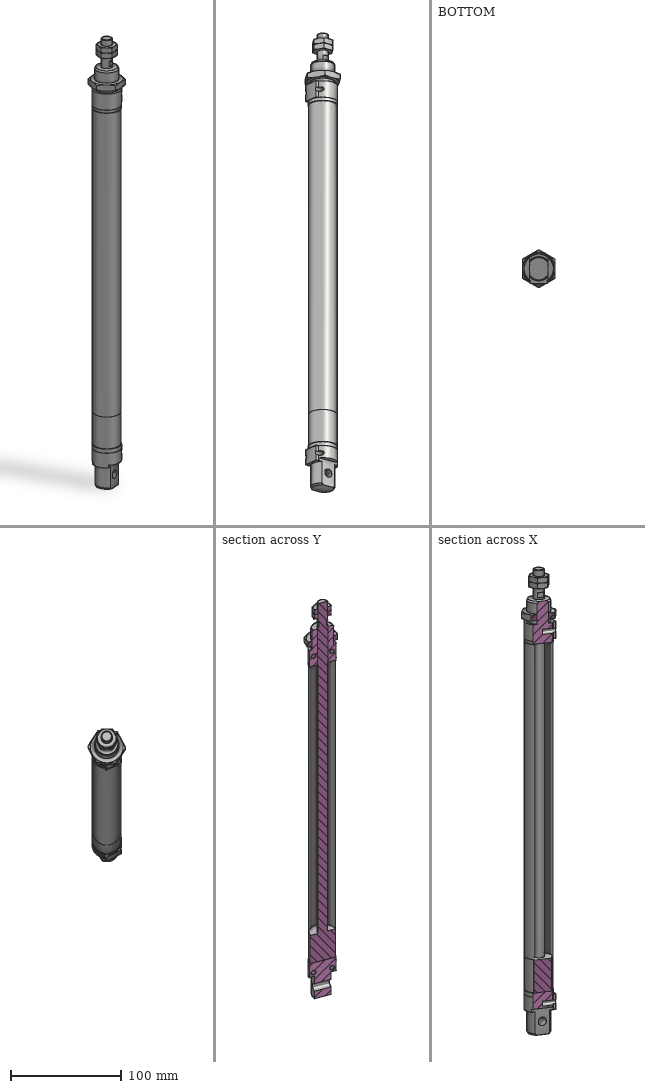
import cadquery as cq
import math

TOTAL_LENGTH = 439.0
REAR_CAP_BOTTOM = 22.5
CLEVIS_TOP = 25.0
REAR_CAP_TOP = 37.0
REAR_BAND_TOP = 41.0
FRONT_BAND_BOTTOM = 370.5
FRONT_CAP_BOTTOM = 373.5
FRONT_CAP_TOP = 389.5
COLLAR_TOP = 411.0

TUBE_DIAMETER = 26.5
BAND_DIAMETER = 26.8
CAP_DIAMETER = 27.0
BORE_DIAMETER = 25.0
NECK_DIAMETER = 22.0
CHAMFERED_END_DIAMETER = 20.0
END_CHAMFER = (NECK_DIAMETER - CHAMFERED_END_DIAMETER) / 2
END_CHAMFER_LENGTH = 1.8
CLEVIS_THICKNESS = 16.5
CLEVIS_HOLE_DIAMETER = 8.0
CLEVIS_HOLE_HEIGHT = 12.7

PAD_WIDTH = 16.0
PAD_REACH = CAP_DIAMETER / 2
GROOVE_DIAMETER = 4.5
GROOVE_OFFSET = 9.0

ROD_DIAMETER = 10.0
ROD_TIP_DIAMETER = 8.8
ROD_TIP_CHAMFER = (ROD_DIAMETER - ROD_TIP_DIAMETER) / 2
PISTON_BOTTOM = REAR_BAND_TOP
PISTON_TOP = 72.0
ROD_FLATS_WIDTH = 8.5
ROD_FLATS_BOTTOM = 412.5
ROD_FLATS_TOP = 417.5

MOUNT_NUT_WIDTH = 30.0
MOUNT_NUT_HEIGHT = 6.0
MOUNT_NUT_BOTTOM = 393.0
ROD_NUT_WIDTH = 17.0
ROD_NUT_HEIGHT = 5.3
ROD_NUT_BOTTOM = 422.5
ROD_NUT_COUNT = 2
NUT_CHAMFER_ANGLE = 20.0
HEX_SIDES = 6


def cylinder(diameter, bottom, top):
    return cq.Workplane("XY").workplane(offset=bottom).circle(diameter / 2).extrude(top - bottom)


def box(x_range, y_range, z_range):
    """Block between the given limits along X, Y and Z."""
    size = [high - low for low, high in (x_range, y_range, z_range)]
    corner = (x_range[0], y_range[0], z_range[0])
    return cq.Workplane("XY").box(*size, centered=False).translate(corner)


def side_cuts(half_width, bottom, top):
    """Two blocks that leave only the material between x = -half_width and x = +half_width."""
    reach = CAP_DIAMETER
    y_range = (-reach, reach)
    right = box((half_width, reach), y_range, (bottom, top))
    left = box((-reach, -half_width), y_range, (bottom, top))
    return right.union(left)


def cap(bottom, top):
    """End cap with its pad."""
    half = PAD_WIDTH / 2
    pad = box((-half, half), (0, PAD_REACH), (bottom, top))
    return cylinder(CAP_DIAMETER, bottom, top).union(pad)


def grooves(height):
    """Round grooves along Y on both flanks of a pad."""
    return (
        cq.Workplane("XZ", origin=(0, 0, height))
        .pushPoints([(-GROOVE_OFFSET, 0), (GROOVE_OFFSET, 0)])
        .circle(GROOVE_DIAMETER / 2)
        .extrude(-CAP_DIAMETER)
    )


def make_housing():
    tube = cylinder(TUBE_DIAMETER, REAR_CAP_TOP, FRONT_CAP_BOTTOM)
    rear_band = cylinder(BAND_DIAMETER, REAR_CAP_TOP, REAR_BAND_TOP)
    front_band = cylinder(BAND_DIAMETER, FRONT_BAND_BOTTOM, FRONT_CAP_BOTTOM)
    rear_cap = cap(REAR_CAP_BOTTOM, REAR_CAP_TOP)
    front_cap = cap(FRONT_CAP_BOTTOM, FRONT_CAP_TOP)
    collar = cylinder(NECK_DIAMETER, FRONT_CAP_TOP, COLLAR_TOP)
    collar = collar.faces(">Z").chamfer(END_CHAMFER_LENGTH, END_CHAMFER)
    clevis = cylinder(NECK_DIAMETER, 0, REAR_CAP_BOTTOM)
    clevis = clevis.faces("<Z").chamfer(END_CHAMFER_LENGTH, END_CHAMFER)
    body = tube
    for section in (rear_band, front_band, rear_cap, front_cap, collar, clevis):
        body = body.union(section)

    body = body.cut(side_cuts(CLEVIS_THICKNESS / 2, 0, CLEVIS_TOP))
    clevis_hole = (
        cq.Workplane("YZ", origin=(0, 0, CLEVIS_HOLE_HEIGHT))
        .circle(CLEVIS_HOLE_DIAMETER / 2)
        .extrude(CLEVIS_THICKNESS, both=True)
    )
    body = body.cut(clevis_hole)
    for bottom, top in ((REAR_CAP_BOTTOM, REAR_CAP_TOP), (FRONT_CAP_BOTTOM, FRONT_CAP_TOP)):
        body = body.cut(grooves((bottom + top) / 2))

    body = body.cut(cylinder(BORE_DIAMETER, PISTON_BOTTOM, FRONT_BAND_BOTTOM))
    return body.cut(cylinder(ROD_DIAMETER, FRONT_BAND_BOTTOM, COLLAR_TOP))


def make_piston_rod():
    piston = cylinder(BORE_DIAMETER, PISTON_BOTTOM, PISTON_TOP)
    rod = cylinder(ROD_DIAMETER, PISTON_TOP, TOTAL_LENGTH).faces(">Z").chamfer(ROD_TIP_CHAMFER)
    flats = side_cuts(ROD_FLATS_WIDTH / 2, ROD_FLATS_BOTTOM, ROD_FLATS_TOP)
    return piston.union(rod).cut(flats)


def make_nut(width, height, bore, bottom):
    """Hexagon nut with corners on +Y and -Y, its corners rounded off by a cone at both faces."""
    corner_radius = width / math.sqrt(3)
    corner_angles = [2 * math.pi * i / HEX_SIDES for i in range(HEX_SIDES)]
    hexagon = [(corner_radius * math.sin(a), corner_radius * math.cos(a)) for a in corner_angles]
    nut = cq.Workplane("XY").polyline(hexagon).close().extrude(height)
    drop = (corner_radius - width / 2) * math.tan(math.radians(NUT_CHAMFER_ANGLE))
    envelope = (
        cq.Workplane("XZ")
        .polyline([
            (0, 0),
            (width / 2, 0),
            (corner_radius, drop),
            (corner_radius, height - drop),
            (width / 2, height),
            (0, height),
        ])
        .close()
        .revolve(360, (0, 0), (0, 1))
    )
    hole = cylinder(bore, 0, height)
    return nut.intersect(envelope).cut(hole).translate((0, 0, bottom))


housing = make_housing()
piston_rod = make_piston_rod()
mount_nut = make_nut(MOUNT_NUT_WIDTH, MOUNT_NUT_HEIGHT, NECK_DIAMETER, MOUNT_NUT_BOTTOM)
rod_nuts = [
    make_nut(ROD_NUT_WIDTH, ROD_NUT_HEIGHT, ROD_DIAMETER, ROD_NUT_BOTTOM + i * ROD_NUT_HEIGHT)
    for i in range(ROD_NUT_COUNT)
]

result = cq.Compound.makeCompound([
    housing.val(),
    piston_rod.val(),
    mount_nut.val(),
    *[nut.val() for nut in rod_nuts],
])